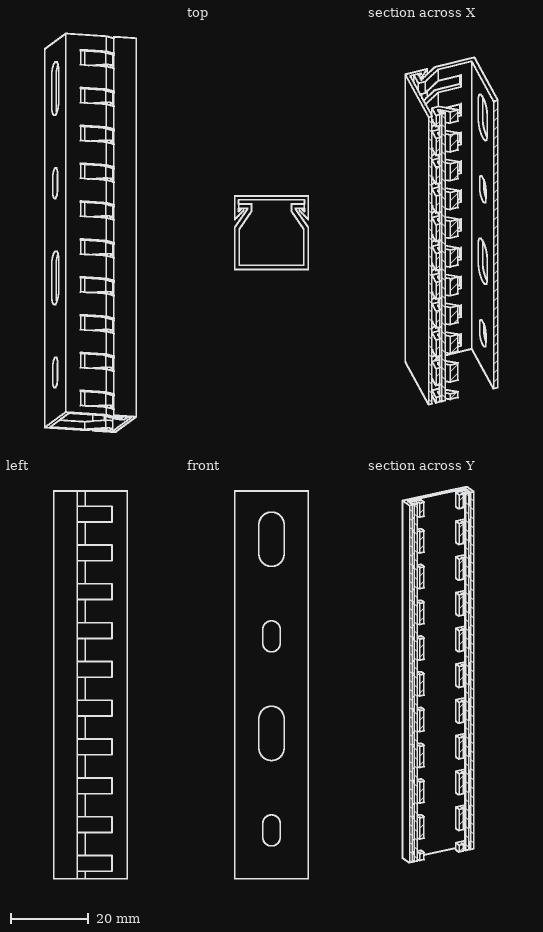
import cadquery as cq
import math

WIDTH = 19.0
DEPTH = 19.0
LENGTH = 100.0
HALF_WIDTH = WIDTH / 2

LID_WALL = 1.0
LID_SKIRT = 6.1
HOOK_REACH = 2.4
HOOK_THICKNESS = 0.7

TROUGH_WALL = 1.2
SHOULDER_Y = 10.9
INNER_SHOULDER_Y = 10.4
LIP_INSET = 4.4
LIP_CORNER_Y = 15.1
LIP_TOP_Y = 17.0
LIP_ROOT_INSET = 3.4
LIP_UNDERSIDE_Y = LIP_TOP_Y - TROUGH_WALL

SLOT_FLOOR_Y = 4.0
SLOT_HEIGHT = 4.0
SLOT_PITCH = 10.0
SLOT_COUNT = 10
FIRST_SLOT_Z = 2.0

LARGE_HOLE = (14.0, 6.5)
SMALL_HOLE = (8.0, 4.5)
HOLE_PITCH = LENGTH / 4


def symmetric_profile(half):
    """Extrude an outline given by its +X half, mirrored onto the -X side."""
    mirrored = [(-x, y) for x, y in reversed(half)]
    return cq.Workplane("XY").polyline(half + mirrored).close().extrude(LENGTH)


def make_lid():
    inner_x = HALF_WIDTH - LID_WALL
    edge_y = DEPTH - LID_SKIRT
    hook_x = HALF_WIDTH - HOOK_REACH
    hook_root_y = edge_y + LID_WALL + HOOK_THICKNESS * math.sqrt(2)
    hook_top_y = LIP_UNDERSIDE_Y
    half = [
        (HALF_WIDTH, DEPTH),
        (HALF_WIDTH, edge_y),
        (hook_x, edge_y + HOOK_REACH),
        (hook_x, hook_top_y),
        (inner_x - (hook_top_y - hook_root_y), hook_top_y),
        (inner_x, hook_root_y),
        (inner_x, DEPTH - LID_WALL),
    ]
    return symmetric_profile(half)


def make_trough():
    inner_x = HALF_WIDTH - TROUGH_WALL
    lip_end_x = HALF_WIDTH - LID_WALL
    lip_inner_x = HALF_WIDTH - LIP_INSET
    half = [
        (HALF_WIDTH, 0),
        (HALF_WIDTH, SHOULDER_Y),
        (HALF_WIDTH - LIP_ROOT_INSET, LIP_UNDERSIDE_Y),
        (lip_end_x, LIP_UNDERSIDE_Y),
        (lip_end_x, LIP_TOP_Y),
        (lip_inner_x, LIP_TOP_Y),
        (lip_inner_x, LIP_CORNER_Y),
        (inner_x, INNER_SHOULDER_Y),
        (inner_x, TROUGH_WALL),
    ]
    trough = symmetric_profile(half)
    return trough.cut(wiring_slots()).cut(mounting_holes())


def wiring_slots():
    """Bars across the full width, open toward the lid."""
    slots = cq.Workplane("XY")
    for i in range(SLOT_COUNT):
        bar = cq.Workplane("XY").box(
            WIDTH, DEPTH - SLOT_FLOOR_Y, SLOT_HEIGHT, centered=(True, False, False)
        )
        slots = slots.add(bar.translate((0, SLOT_FLOOR_Y, FIRST_SLOT_Z + i * SLOT_PITCH)))
    return slots.combine()


def mounting_holes():
    """Obround cutters through the mounting wall."""
    holes = cq.Workplane("XZ")
    for i, (length, width) in enumerate([SMALL_HOLE, LARGE_HOLE] * 2):
        centre_z = (i + 0.5) * HOLE_PITCH
        cutter = cq.Workplane("XZ").center(0, centre_z).slot2D(length, width, 90).extrude(-TROUGH_WALL)
        holes = holes.add(cutter)
    return holes.combine()


lid = make_lid()
trough = make_trough()

result = cq.Compound.makeCompound([trough.val(), lid.val()])